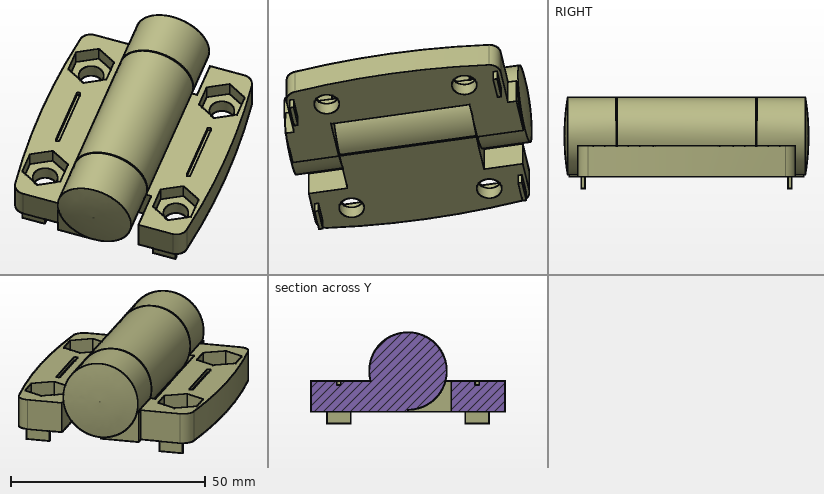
import cadquery as cq
import math

leaf_thickness = 8.0
leaf_half_length = 28.0
overall_width = 50.0
leaf_edge_radius = 200.0
leaf_corner_radius = 3.0
leaf_inner_x = 11.1

barrel_diameter = 20.0
barrel_bottom_clearance = 0.5
barrel_half_length = 31.45
dome_height = 0.9
dome_tip_diameter = 0.2
knuckle_joint_y = 18.0
knuckle_gap = 0.25
pin_diameter = 8.0
end_web_half_length = 30.2
end_web_outer_x = 10.05

hole_diameter = 6.4
hole_x = 17.8
hole_y = knuckle_joint_y
hex_across_flats = 10.4
hex_depth = 4.0

slot_length = 17.1
slot_width = 1.0
slot_depth = 1.0

lug_width = 6.15
lug_thickness = 1.0
lug_height = 3.0
lug_y = 26.6

leaf_half_width = overall_width / 2
barrel_radius = barrel_diameter / 2
axis_z = barrel_bottom_clearance + barrel_radius
center_half_length = knuckle_joint_y - knuckle_gap / 2
end_knuckle_start = knuckle_joint_y + knuckle_gap / 2
barrel_shoulder_y = barrel_half_length - dome_height


def box_between(x_range, y_range, z_range):
    """Box spanning the given (low, high) ranges."""
    sizes = [high - low for low, high in (x_range, y_range, z_range)]
    corner = (x_range[0], y_range[0], z_range[0])
    return cq.Workplane("XY").box(*sizes, centered=False).translate(corner)


def leaf_plate():
    """Right-hand leaf plate with a bowed outer edge and rounded outer corners."""
    sagitta = leaf_edge_radius - math.sqrt(leaf_edge_radius**2 - leaf_half_length**2)
    end_x = leaf_half_width - sagitta
    return (
        cq.Workplane("XY")
        .moveTo(leaf_inner_x, -leaf_half_length)
        .lineTo(end_x, -leaf_half_length)
        .threePointArc((leaf_half_width, 0), (end_x, leaf_half_length))
        .lineTo(leaf_inner_x, leaf_half_length)
        .close()
        .extrude(leaf_thickness)
        .edges("|Z")
        .edges(">X")
        .fillet(leaf_corner_radius)
    )


def nut_pocket():
    """Hexagonal prism with two corners pointing along Y."""
    hex_diameter = hex_across_flats / math.cos(math.radians(30))
    prism = cq.Workplane("XY").polygon(6, hex_diameter).extrude(hex_depth)
    return prism.rotate((0, 0, 0), (0, 0, 1), 90)


def drilled_leaf():
    """Right-hand leaf with its nut pockets, screw holes, slot and lugs."""
    hole_points = [(hole_x, hole_y), (hole_x, -hole_y)]
    holes = cq.Workplane("XY").pushPoints(hole_points).circle(hole_diameter / 2).extrude(leaf_thickness)
    pockets = (
        cq.Workplane("XY", origin=(0, 0, leaf_thickness - hex_depth))
        .pushPoints(hole_points)
        .eachpoint(nut_pocket(), combine=False)
    )
    slot = (
        cq.Workplane("XY", origin=(hole_x, 0, leaf_thickness - slot_depth))
        .slot2D(slot_length, slot_width, 90)
        .extrude(slot_depth)
    )
    lugs = (
        cq.Workplane("XY")
        .pushPoints([(hole_x, lug_y), (hole_x, -lug_y)])
        .rect(lug_width, lug_thickness)
        .extrude(-lug_height)
    )
    return leaf_plate().cut(holes).cut(pockets).cut(slot).union(lugs)


def knuckle(y_start, y_end):
    """Plain cylinder around the hinge axis."""
    plane = cq.Workplane("XZ", origin=(0, y_start, axis_z))
    return plane.circle(barrel_radius).extrude(y_start - y_end)


def end_knuckle():
    """Knuckle at the +Y end, closed by a shallow dome with a tiny flat tip."""
    tip_radius = dome_tip_diameter / 2
    dome_radius = (barrel_radius**2 + dome_height**2) / (2 * dome_height)
    mid_radius = barrel_radius / 2
    mid_y = barrel_half_length - dome_radius + math.sqrt(dome_radius**2 - mid_radius**2)
    return (
        cq.Workplane("XY")
        .moveTo(0, end_knuckle_start)
        .lineTo(barrel_radius, end_knuckle_start)
        .lineTo(barrel_radius, barrel_shoulder_y)
        .threePointArc((mid_radius, mid_y), (tip_radius, barrel_half_length))
        .lineTo(0, barrel_half_length)
        .close()
        .revolve(360, (0, 0, 0), (0, 1, 0))
        .translate((0, 0, axis_z))
    )


def right_half():
    """Leaf joined to the centre knuckle."""
    web = box_between(
        (0, leaf_inner_x), (-center_half_length, center_half_length), (0, leaf_thickness)
    )
    return drilled_leaf().union(web).union(knuckle(-center_half_length, center_half_length))


def left_half():
    """Leaf joined to both end knuckles."""
    z_range = (0, leaf_thickness)
    bridge = box_between((-leaf_inner_x, 0), (end_knuckle_start, leaf_half_length), z_range)
    web = box_between((-end_web_outer_x, 0), (end_knuckle_start, end_web_half_length), z_range)
    arm = end_knuckle().union(bridge).union(web)
    return drilled_leaf().mirror("YZ").union(arm).union(arm.mirror("XZ"))


def hinge_pin():
    """Hidden pin that carries all three knuckles."""
    plane = cq.Workplane("XZ", origin=(0, barrel_shoulder_y, axis_z))
    return plane.circle(pin_diameter / 2).extrude(2 * barrel_shoulder_y)


result = right_half().union(left_half()).union(hinge_pin())